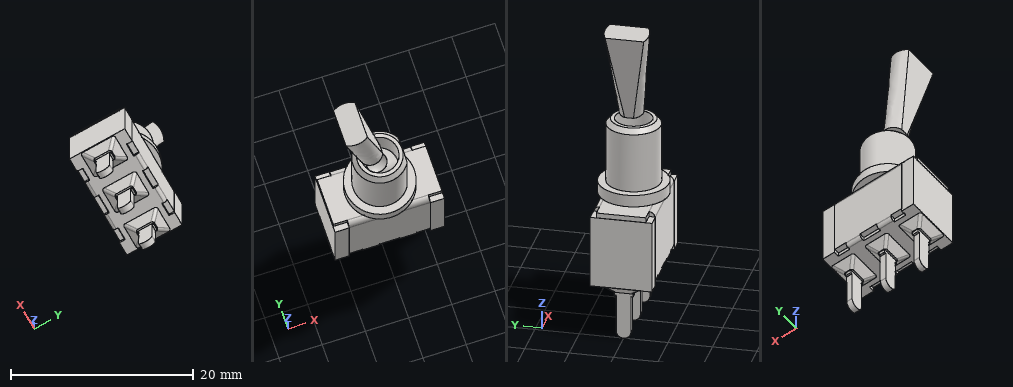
import cadquery as cq
import math

overall_height = 36.68
shoulder_bottom_z = 5.15
seal_bottom_z = 5.6
case_bottom_z = 6.6
panel_bottom_z = 7.15
ledge_z = 14.95
case_top_z = 15.55
collar_top_z = 16.95
bushing_top_z = 24.45

case_length = 12.7
case_width = 7.0
core_length = 12.6
frame_length = 9.4
frame_width = 6.9
frame_thickness = 0.65
tab_bend_radius = 0.45
tab_length = 1.98
tab_spacing = 4.3

collar_diameter = 8.0
bushing_diameter = 6.15
bushing_flat_x = 2.65
bushing_chamfer_width = 0.5
bushing_chamfer_height = 0.6
bore_diameter = 4.2

ball_diameter = bore_diameter
ball_center_z = 20.9
mouth_diameter = 2.35
cavity_diameter = 3.65

terminal_pitch = frame_length / 2
terminal_thickness = 0.77
terminal_width = 1.7
shoulder_width = 2.13
seal_bottom_length = 1.17
seal_bottom_width = 2.27
seal_flare = 1.0
seal_edge_radius = 0.45

lever_tilt = 12.4
lever_thickness = 2.55
lever_length = 10.82
lever_bottom_diameter = 2.75
lever_top_diameter = 5.05

lever_tilt_sine = math.sin(math.radians(lever_tilt))
lever_tilt_cosine = math.cos(math.radians(lever_tilt))


def block(length, width, bottom_z, top_z):
    """Box centred on the Z axis between two heights."""
    return cq.Workplane("XY").workplane(offset=bottom_z).rect(length, width).extrude(top_z - bottom_z)


def disc(diameter, bottom_z, top_z):
    """Cylinder on the Z axis between two heights."""
    return cq.Workplane("XY").workplane(offset=bottom_z).circle(diameter / 2).extrude(top_z - bottom_z)


def tilt(shape):
    """Lean a shape about the ball centre by the lever angle."""
    return shape.rotate((0, 0, ball_center_z), (0, 1, ball_center_z), -lever_tilt)


def make_case():
    core_width = frame_width - 2 * frame_thickness
    case = block(core_length, core_width, case_bottom_z, case_top_z)

    end_length = (case_length - frame_length) / 2
    end_x = (case_length - end_length) / 2
    for x in (-end_x, end_x):
        case = case.union(block(end_length, case_width, case_bottom_z, ledge_z).translate((x, 0, 0)))

    frame = block(frame_length, frame_width, panel_bottom_z, case_top_z)
    frame = frame.edges("|X and >Z").fillet(frame_thickness)
    case = case.union(frame)

    for x in (-tab_spacing / 2, tab_spacing / 2):
        tab = block(tab_length, frame_width, case_bottom_z, panel_bottom_z + tab_bend_radius)
        tab = tab.edges("|X and <Z").fillet(tab_bend_radius)
        case = case.union(tab.translate((x, 0, 0)))
    return case


def make_bushing():
    bushing_radius = bushing_diameter / 2
    chamfer_bottom_z = bushing_top_z - bushing_chamfer_height
    bushing = (
        cq.Workplane("XZ")
        .moveTo(0, case_top_z)
        .lineTo(bushing_radius, case_top_z)
        .lineTo(bushing_radius, chamfer_bottom_z)
        .lineTo(bushing_radius - bushing_chamfer_width, bushing_top_z)
        .lineTo(0, bushing_top_z)
        .close()
        .revolve(360, (0, 0, 0), (0, 1, 0))
    )
    flat_side = block(bushing_diameter, bushing_diameter, case_top_z, bushing_top_z)
    bushing = bushing.cut(flat_side.translate((bushing_flat_x + bushing_radius, 0, 0)))
    bushing = bushing.union(disc(collar_diameter, case_top_z, collar_top_z))
    return bushing.cut(disc(bore_diameter, ball_center_z, bushing_top_z))


def make_ball():
    return cq.Workplane("XY").sphere(ball_diameter / 2).translate((0, 0, ball_center_z))


def make_cavity():
    """Hollow of the ball and its mouth, tilted like the lever."""
    hollow = cq.Workplane("XY").sphere(cavity_diameter / 2).translate((0, 0, ball_center_z))
    mouth = disc(mouth_diameter, ball_center_z, ball_center_z + ball_diameter / 2)
    return hollow.union(tilt(mouth))


def make_terminal():
    """Terminal with a round tip and shoulders, under a tapered seal."""
    tip_radius = terminal_width / 2
    blade = block(terminal_thickness, terminal_width, tip_radius, seal_bottom_z)
    tip = (
        cq.Workplane("YZ")
        .center(0, tip_radius)
        .circle(tip_radius)
        .extrude(terminal_thickness / 2, both=True)
    )
    shoulder = block(terminal_thickness, shoulder_width, shoulder_bottom_z, seal_bottom_z)
    seal = (
        cq.Workplane("XY")
        .workplane(offset=seal_bottom_z)
        .rect(seal_bottom_length, seal_bottom_width)
        .workplane(offset=case_bottom_z - seal_bottom_z)
        .rect(seal_bottom_length + 2 * seal_flare, seal_bottom_width + 2 * seal_flare)
        .loft(ruled=True)
        .edges("not #Z")
        .fillet(seal_edge_radius)
    )
    return blade.union(tip).union(shoulder).union(seal)


def make_housing():
    housing = make_case().union(make_bushing()).union(make_ball()).cut(make_cavity())
    for x in (-terminal_pitch, 0, terminal_pitch):
        housing = housing.union(make_terminal().translate((x, 0, 0)))
    return housing


def lever_section(workplane, diameter):
    """Circle clipped to the lever thickness by two flats."""
    radius = diameter / 2
    half_thickness = lever_thickness / 2
    half_flat = math.sqrt(radius ** 2 - half_thickness ** 2)
    return (
        workplane.moveTo(-half_thickness, -half_flat)
        .threePointArc((0, -radius), (half_thickness, -half_flat))
        .lineTo(half_thickness, half_flat)
        .threePointArc((0, radius), (-half_thickness, half_flat))
        .close()
    )


def make_lever():
    top_z = overall_height - ball_center_z - lever_thickness / 2 * lever_tilt_sine
    top_reach = top_z / lever_tilt_cosine
    lever = cq.Workplane("XY").workplane(offset=ball_center_z + top_reach - lever_length)
    lever = lever_section(lever, lever_bottom_diameter).workplane(offset=lever_length)
    lever = lever_section(lever, lever_top_diameter).loft(ruled=True)
    return tilt(lever)


housing = make_housing()
lever = make_lever()
result = cq.Compound.makeCompound([housing.val(), lever.val()])